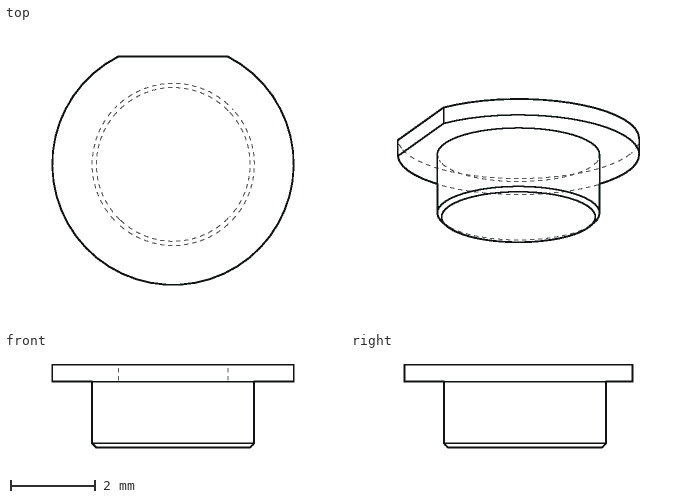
import cadquery as cq

total_height = 1.96
flange_diameter = 5.7
flange_thickness = 0.4
flat_to_far_edge = 5.39
peg_diameter = 3.83
peg_chamfer = 0.1

flange_radius = flange_diameter / 2
peg_length = total_height - flange_thickness
flat_y = flat_to_far_edge - flange_radius


def make_peg():
    """Round peg standing on Z = 0, with its lower rim chamfered."""
    peg = cq.Workplane("XY").circle(peg_diameter / 2).extrude(peg_length)
    return peg.faces("<Z").edges().chamfer(peg_chamfer)


def make_flange():
    """Thin disc on top of the peg, cut to a flat on its +Y side."""
    disc = cq.Workplane("XY").workplane(offset=peg_length).circle(flange_radius).extrude(flange_thickness)
    beyond_flat = (
        cq.Workplane("XY")
        .box(flange_diameter, flange_radius, total_height, centered=(True, False, False))
        .translate((0, flat_y, 0))
    )
    return disc.cut(beyond_flat)


result = make_peg().union(make_flange())